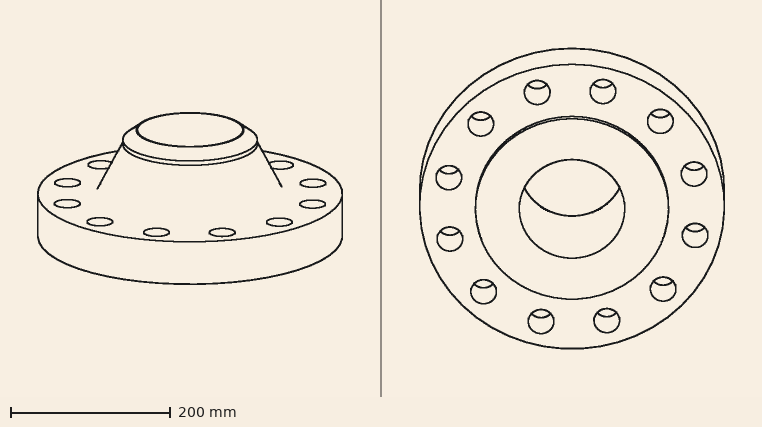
import cadquery as cq
import math

flange_diameter = 381.0
flange_thickness = 56.0
face_diameter = 241.5
face_height = 8.0

total_height = 147.8
hub_base_diameter = 235.0
hub_base_fillet = 3.0
neck_diameter = 168.5
neck_length = 5.7
bore_diameter = 131.8
weld_land_width = 1.5
bevel_angle = 37.5

bolt_count = 12
bolt_hole_diameter = 32.0
bolt_circle_diameter = 317.3

flange_radius = flange_diameter / 2
face_radius = face_diameter / 2
hub_base_radius = hub_base_diameter / 2
neck_radius = neck_diameter / 2
bore_radius = bore_diameter / 2
weld_land_radius = bore_radius + weld_land_width

flange_top = face_height + flange_thickness
bevel_height = (neck_radius - weld_land_radius) * math.tan(math.radians(bevel_angle))
neck_top = total_height - bevel_height
neck_bottom = neck_top - neck_length


def revolved_body():
    """Bored flange, raised face and hub, revolved about Z."""
    profile = [
        (bore_radius, 0),
        (face_radius, 0),
        (face_radius, face_height),
        (flange_radius, face_height),
        (flange_radius, flange_top),
        (hub_base_radius, flange_top),
        (neck_radius, neck_bottom),
        (neck_radius, neck_top),
        (weld_land_radius, total_height),
        (bore_radius, total_height),
    ]
    return cq.Workplane("XZ").polyline(profile).close().revolve(360, (0, 0, 0), (0, 1, 0))


def fillet_hub_base(body):
    """Round the inside corner where the hub meets the flange top."""
    margin = hub_base_fillet
    corner_zone = cq.selectors.BoxSelector(
        (-hub_base_radius - margin, -hub_base_radius - margin, flange_top - margin),
        (hub_base_radius + margin, hub_base_radius + margin, flange_top + margin),
        boundingbox=True,
    )
    return body.edges("%CIRCLE").edges(corner_zone).fillet(hub_base_fillet)


def bolt_holes():
    """Cylinders for the bolt holes, the first one on the +X axis."""
    return (
        cq.Workplane("XY")
        .polarArray(bolt_circle_diameter / 2, 0, 360, bolt_count)
        .circle(bolt_hole_diameter / 2)
        .extrude(flange_top)
    )


result = fillet_hub_base(revolved_body()).cut(bolt_holes())